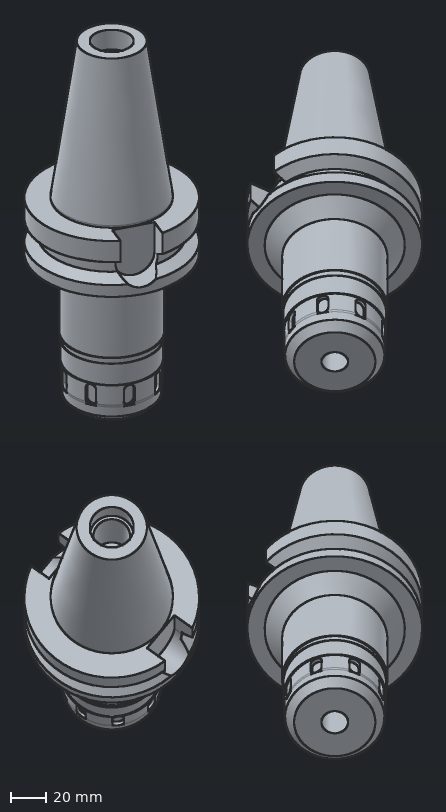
import cadquery as cq
import math

TOTAL_HEIGHT = 236.8
TAPER_LENGTH = 101.8
GAUGE_Z = TOTAL_HEIGHT - TAPER_LENGTH
FLANGE_TOP_Z = 133.5
FLANGE_BOTTOM_Z = 96.5
NECK_CONE_HEIGHT = 10.0

TAPER_RATIO = 7 / 24
GAUGE_DIAMETER = 69.9
GAUGE_RADIUS = GAUGE_DIAMETER / 2
SHANK_END_RADIUS = (GAUGE_DIAMETER - TAPER_RATIO * TAPER_LENGTH) / 2

FLANGE_RADIUS = 50.0
GROOVE_FLOOR_RADIUS = 42.5
GROOVE_CENTER_Z = 112.0
GROOVE_FLOOR_WIDTH = 6.5
GROOVE_WALL_SLOPE = math.tan(math.radians(30))

KEYWAY_COUNT = 2
KEYWAY_WIDTH = 25.5
KEYWAY_FLOOR_X = 35.3
KEYWAY_BOTTOM_Z = 101.4

BODY_RADIUS = 30.0
BODY_BOTTOM_Z = 44.5
COLLAR_RADIUS = 29.5
COLLAR_BOTTOM_Z = 40.5
NUT_TOP_RADIUS = 29.4
NUT_SHOULDER_Z = 26.0
NUT_GRIP_RADIUS = 29.0
NUT_RIM_TOP_Z = 12.8
NUT_RIM_BOTTOM_Z = 11.4
NUT_RIM_RADIUS = 28.7
NOSE_CHAMFER_Z = 5.0
NOSE_CHAMFER_RADIUS = 28.5
NOSE_FACE_RADIUS = 23.2

SPANNER_SLOT_COUNT = 8
SPANNER_SLOT_WIDTH = 6.6
SPANNER_SLOT_BOTTOM_Z = NUT_RIM_BOTTOM_Z
SPANNER_SLOT_LENGTH = 13.7
SPANNER_SLOT_FLOOR_RADIUS = 26.3

THROUGH_RADIUS = 7.5
THREAD_RADIUS = 10.5
THREAD_DEPTH = 47.4
COUNTERBORE_RADIUS = 12.5
COUNTERBORE_DEPTH = 13.0


def revolved_body():
    """Outer shape, revolved about Z from a half section of (radius, z) points."""
    wall_height = (FLANGE_RADIUS - GROOVE_FLOOR_RADIUS) * GROOVE_WALL_SLOPE
    floor_low = GROOVE_CENTER_Z - GROOVE_FLOOR_WIDTH / 2
    floor_high = GROOVE_CENTER_Z + GROOVE_FLOOR_WIDTH / 2
    section = [
        (0, 0),
        (NOSE_FACE_RADIUS, 0),
        (NOSE_CHAMFER_RADIUS, NOSE_CHAMFER_Z),
        (NUT_RIM_RADIUS, NUT_RIM_BOTTOM_Z),
        (NUT_GRIP_RADIUS, NUT_RIM_TOP_Z),
        (NUT_GRIP_RADIUS, NUT_SHOULDER_Z),
        (NUT_TOP_RADIUS, NUT_SHOULDER_Z),
        (NUT_TOP_RADIUS, COLLAR_BOTTOM_Z),
        (COLLAR_RADIUS, COLLAR_BOTTOM_Z),
        (COLLAR_RADIUS, BODY_BOTTOM_Z),
        (BODY_RADIUS, BODY_BOTTOM_Z),
        (BODY_RADIUS, FLANGE_BOTTOM_Z - NECK_CONE_HEIGHT),
        (BODY_RADIUS + NECK_CONE_HEIGHT, FLANGE_BOTTOM_Z),
        (FLANGE_RADIUS, FLANGE_BOTTOM_Z),
        (FLANGE_RADIUS, floor_low - wall_height),
        (GROOVE_FLOOR_RADIUS, floor_low),
        (GROOVE_FLOOR_RADIUS, floor_high),
        (FLANGE_RADIUS, floor_high + wall_height),
        (FLANGE_RADIUS, FLANGE_TOP_Z),
        (GAUGE_RADIUS, FLANGE_TOP_Z),
        (GAUGE_RADIUS, GAUGE_Z),
        (SHANK_END_RADIUS, TOTAL_HEIGHT),
        (0, TOTAL_HEIGHT),
    ]
    return cq.Workplane("XZ").polyline(section).close().revolve(360, (0, 0), (0, 1))


def bore_cutter(radius, depth):
    """Cylinder reaching down from the small end of the taper."""
    return cq.Workplane("XY").workplane(offset=TOTAL_HEIGHT - depth).circle(radius).extrude(depth)


def keyway_cutter():
    """Round-bottomed slot on the +X side, open at the flange top."""
    half_width = KEYWAY_WIDTH / 2
    arc_center_z = KEYWAY_BOTTOM_Z + half_width
    return (
        cq.Workplane("YZ")
        .workplane(offset=KEYWAY_FLOOR_X)
        .moveTo(-half_width, FLANGE_TOP_Z)
        .lineTo(-half_width, arc_center_z)
        .threePointArc((0, KEYWAY_BOTTOM_Z), (half_width, arc_center_z))
        .lineTo(half_width, FLANGE_TOP_Z)
        .close()
        .extrude(FLANGE_RADIUS - KEYWAY_FLOOR_X)
    )


def spanner_slot_cutter():
    """Upright slot with rounded ends and a flat floor, on the +X side of the nut."""
    return (
        cq.Workplane("YZ")
        .workplane(offset=SPANNER_SLOT_FLOOR_RADIUS)
        .center(0, SPANNER_SLOT_BOTTOM_Z + SPANNER_SLOT_LENGTH / 2)
        .slot2D(SPANNER_SLOT_LENGTH, SPANNER_SLOT_WIDTH, 90)
        .extrude(BODY_RADIUS - SPANNER_SLOT_FLOOR_RADIUS)
    )


def cut_around_axis(body, cutter, count):
    """Cut evenly spaced copies of a cutter around the Z axis."""
    for index in range(count):
        body = body.cut(cutter.rotate((0, 0, 0), (0, 0, 1), index * 360 / count))
    return body


result = revolved_body()
result = result.cut(bore_cutter(THROUGH_RADIUS, TOTAL_HEIGHT))
result = result.cut(bore_cutter(THREAD_RADIUS, THREAD_DEPTH))
result = result.cut(bore_cutter(COUNTERBORE_RADIUS, COUNTERBORE_DEPTH))
result = cut_around_axis(result, keyway_cutter(), KEYWAY_COUNT)
result = cut_around_axis(result, spanner_slot_cutter(), SPANNER_SLOT_COUNT)